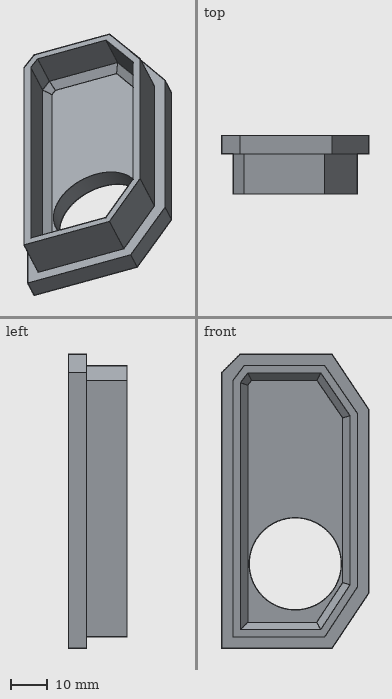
import cadquery as cq

width = 40.0
height = 80.0
plate_thickness = 5.0
plate_corner = (5.0, 5.0)
plate_lower_cut = (10.0, 15.0)
plate_upper_cut = (10.0, 15.0)

rim_height = 11.0
rim_inset = 3.1
rim_corner = (3.0, 4.0)
rim_lower_cut = (8.9, 13.6)
rim_upper_cut = (8.9, 13.0)

wall_thickness = 2.0
floor_bevel = 2.0

hole_diameter = 25.0
hole_x = width / 2
hole_z = 23.0

rim_front_y = 0.0
plate_front_y = rim_front_y + rim_height


def draw_cut_corner_outline(start_y, inset, corner, lower_cut, upper_cut):
    """Draw the inset outline in the XZ plane; each cut is its (X, Z) size."""
    left = inset
    right = width - inset
    bottom = inset
    top = height - inset
    outline = [
        (left, bottom),
        (right - lower_cut[0], bottom),
        (right, bottom + lower_cut[1]),
        (right, top - upper_cut[1]),
        (right - upper_cut[0], top),
        (left + corner[0], top),
        (left, top - corner[1]),
    ]
    return cq.Workplane("XZ", origin=(0, start_y, 0)).polyline(outline).close()


def draw_rim_outline():
    return draw_cut_corner_outline(rim_front_y, rim_inset, rim_corner, rim_lower_cut, rim_upper_cut)


def make_plate():
    outline = draw_cut_corner_outline(plate_front_y, 0.0, plate_corner, plate_lower_cut, plate_upper_cut)
    return outline.extrude(-plate_thickness)


def make_rim():
    return draw_rim_outline().extrude(-rim_height)


def make_pocket():
    """Fill the rim to an even wall thickness, with the floor edges bevelled."""
    pocket = draw_rim_outline().offset2D(-wall_thickness, "intersection").extrude(-rim_height)
    return pocket.faces(">Y").edges().chamfer(floor_bevel)


def make_hole():
    plane = cq.Workplane("XZ", origin=(hole_x, plate_front_y, hole_z))
    return plane.circle(hole_diameter / 2).extrude(-plate_thickness)


result = make_plate().union(make_rim()).cut(make_pocket()).cut(make_hole())